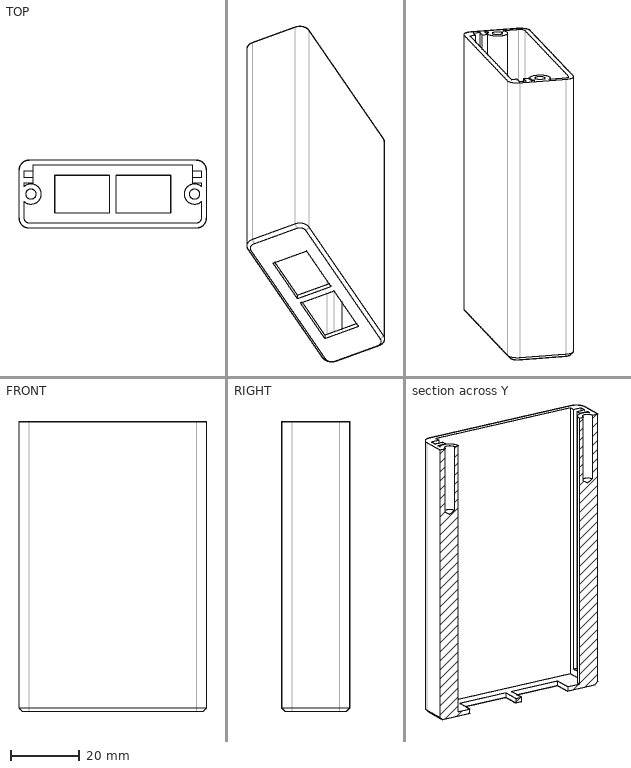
import cadquery as cq
import math

length = 55.0
width = 20.0
height = 85.0
corner_radius = 3.0
wall = 1.5
floor_thickness = wall
bottom_chamfer = 1.0

cavity_length = length - 2 * wall
cavity_width = width - 2 * wall
cavity_height = height - floor_thickness
cavity_radius = corner_radius - wall

boss_diameter = 6.0
boss_inset = 3.5
boss_x = length / 2 - boss_inset
screw_diameter = 3.0
screw_depth = 20.0
drill_tip_angle = 118.0

guide_reach = 2.6
slot_width = 2.0
rib_thickness = 1.6
ledge_height = 2.0
block_face_y = width / 2 - 3.2
rib_top_y = block_face_y - slot_width
rib_bottom_y = rib_top_y - rib_thickness

window_length = 16.0
window_width = 11.0
window_bar = 2.0
window_x = (window_bar + window_length) / 2

SIDES = (-1, 1)


def make_shell():
    outer = (
        cq.Workplane("XY")
        .rect(length, width)
        .extrude(height)
        .edges("|Z")
        .fillet(corner_radius)
        .faces("<Z")
        .chamfer(bottom_chamfer)
    )
    cavity = (
        cq.Workplane("XY")
        .workplane(offset=floor_thickness)
        .rect(cavity_length, cavity_width)
        .extrude(cavity_height)
        .edges("|Z")
        .fillet(cavity_radius)
    )
    return outer.cut(cavity)


def make_boss(side):
    """Full-height post, partly merged into the end wall."""
    return (
        cq.Workplane("XY")
        .workplane(offset=floor_thickness)
        .center(side * boss_x, 0)
        .circle(boss_diameter / 2)
        .extrude(cavity_height)
    )


def make_guide_bar(side, y_low, y_high, bar_height):
    """Bar standing on the floor, overlapping the end wall by half its thickness."""
    overlap = wall / 2
    bar_length = guide_reach + overlap
    bar_x = side * (cavity_length / 2 + overlap - bar_length / 2)
    return (
        cq.Workplane("XY")
        .workplane(offset=floor_thickness)
        .center(bar_x, (y_low + y_high) / 2)
        .rect(bar_length, y_high - y_low)
        .extrude(bar_height)
    )


def make_guides(side):
    """Corner block, rib and the ledge that closes the foot of the board slot."""
    block = make_guide_bar(side, block_face_y, cavity_width / 2, cavity_height)
    rib = make_guide_bar(side, rib_bottom_y, rib_top_y, cavity_height)
    ledge = make_guide_bar(side, rib_top_y, block_face_y, ledge_height)
    return block.union(rib).union(ledge)


def make_screw_hole(side):
    """Blind hole from the top of a boss, ending in a drill-point cone."""
    radius = screw_diameter / 2
    tip_length = radius / math.tan(math.radians(drill_tip_angle / 2))
    bottom_z = height - screw_depth
    half_profile = (
        cq.Workplane("XZ")
        .moveTo(0, height)
        .lineTo(radius, height)
        .lineTo(radius, bottom_z)
        .lineTo(0, bottom_z - tip_length)
        .close()
    )
    return half_profile.revolve(360, (0, 0), (0, 1)).translate((side * boss_x, 0, 0))


def make_window(side):
    return (
        cq.Workplane("XY")
        .center(side * window_x, 0)
        .rect(window_length, window_width)
        .extrude(floor_thickness)
    )


result = make_shell()
for side in SIDES:
    result = result.union(make_boss(side)).union(make_guides(side))
for side in SIDES:
    result = result.cut(make_screw_hole(side)).cut(make_window(side))